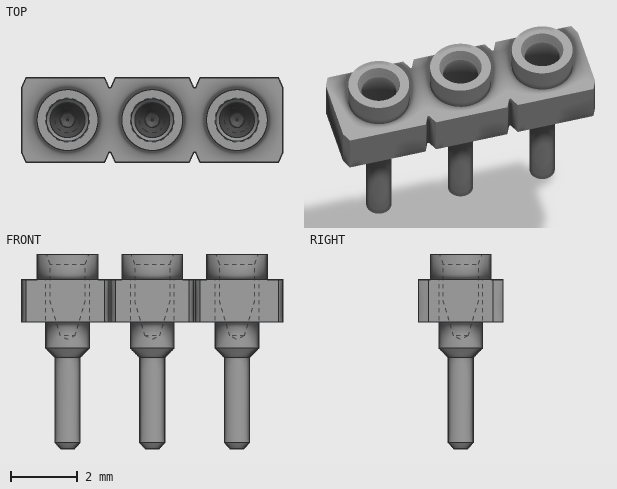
import cadquery as cq

contact_count = 3
pitch = 2.54

housing_length = 7.85
housing_width = pitch
housing_height = 1.27
notch_depth = 0.3
notch_slope_run = 0.13
notch_floor_width = 0.055

collar_diameter = 1.83
collar_height = 0.76
shank_diameter = 1.32
shank_below_housing = 0.78
shoulder_height = 0.28
pin_diameter = 0.76
pin_length = 2.55
tip_diameter = 0.41
tip_height = 0.2

mouth_diameter = 1.27
mouth_depth = 0.3
bore_diameter = 1.05
bore_depth = 1.41
funnel_end_diameter = 0.45
funnel_depth = 1.02
point_depth = 0.11
point_flat_diameter = 0.06

contact_positions = [(i - (contact_count - 1) / 2) * pitch for i in range(contact_count)]


def make_edge_notch(x, side):
    """Tapered notch between two cells, in the long face on the given side (+1 or -1)."""
    floor_half = notch_floor_width / 2
    mouth_half = floor_half + notch_slope_run
    face_y = side * housing_width / 2
    floor_y = face_y - side * notch_depth
    return (
        cq.Workplane("XY")
        .polyline([
            (x - mouth_half, face_y),
            (x - floor_half, floor_y),
            (x + floor_half, floor_y),
            (x + mouth_half, face_y),
        ])
        .close()
        .extrude(housing_height)
    )


def make_housing():
    """Bar with bevelled corners, notches between cells and a hole for each shank."""
    end_x = housing_length / 2
    bevel_x = end_x - notch_slope_run
    side_y = housing_width / 2
    bevel_y = side_y - notch_depth
    body = (
        cq.Workplane("XY")
        .polyline([
            (-bevel_x, -side_y), (bevel_x, -side_y), (end_x, -bevel_y), (end_x, bevel_y),
            (bevel_x, side_y), (-bevel_x, side_y), (-end_x, bevel_y), (-end_x, -bevel_y),
        ])
        .close()
        .extrude(housing_height)
    )
    for contact_x in contact_positions[:-1]:
        for side in (-1, 1):
            body = body.cut(make_edge_notch(contact_x + pitch / 2, side))
    shank_holes = (
        cq.Workplane("XY")
        .pushPoints([(x, 0) for x in contact_positions])
        .circle(shank_diameter / 2)
        .extrude(housing_height)
    )
    return body.cut(shank_holes)


def make_contact(x):
    """Turned contact: collar resting on the housing, shank through it, pin and blind socket."""
    top_z = housing_height + collar_height
    shank_end_z = -shank_below_housing
    pin_top_z = shank_end_z - shoulder_height
    tip_top_z = pin_top_z - pin_length
    tip_end_z = tip_top_z - tip_height
    bore_end_z = top_z - bore_depth
    funnel_end_z = bore_end_z - funnel_depth

    profile = (
        cq.Workplane("XZ")
        .moveTo(mouth_diameter / 2, top_z)
        .lineTo(collar_diameter / 2, top_z)
        .lineTo(collar_diameter / 2, housing_height)
        .lineTo(shank_diameter / 2, housing_height)
        .lineTo(shank_diameter / 2, shank_end_z)
        .lineTo(pin_diameter / 2, pin_top_z)
        .lineTo(pin_diameter / 2, tip_top_z)
        .lineTo(tip_diameter / 2, tip_end_z)
        .lineTo(0, tip_end_z)
        .lineTo(0, funnel_end_z - point_depth)
        .lineTo(point_flat_diameter / 2, funnel_end_z - point_depth)
        .lineTo(funnel_end_diameter / 2, funnel_end_z)
        .lineTo(bore_diameter / 2, bore_end_z)
        .lineTo(bore_diameter / 2, top_z - mouth_depth)
        .close()
    )
    return profile.revolve(360, (0, 0, 0), (0, 1, 0)).translate((x, 0, 0))


housing = make_housing()
contacts = [make_contact(x) for x in contact_positions]

result = cq.Compound.makeCompound([housing.val(), *[contact.val() for contact in contacts]])